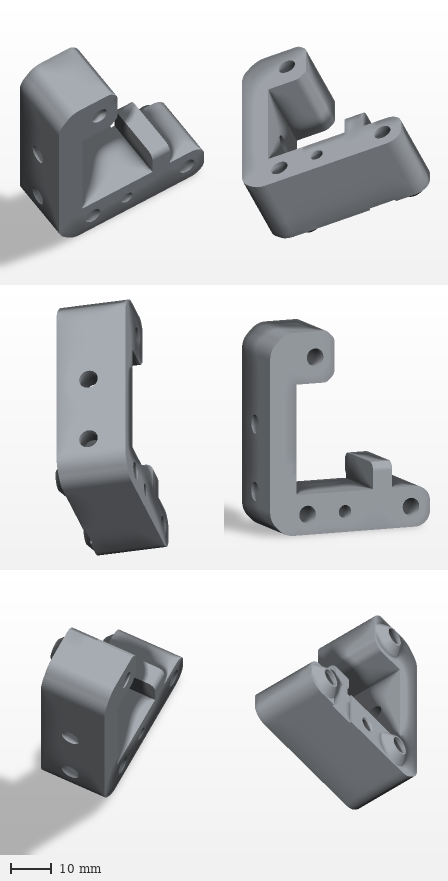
import cadquery as cq
import math

thickness = 17.4
height = 50.4
lower_arm_length = 42.5
lower_arm_height = 10.1
upper_arm_length = 17.1
upper_arm_height = 12.9
column_depth = 6.95

column_chamfer = 4.05
column_blend = 5.05
upper_tip_chamfer = 2.0
upper_tip_blend = 2.0

tip_side_radius = 4.2
tip_end_radius = 3.45

boss_base_diameter = 9.5
boss_height = 2.1
boss_top_diameter = boss_base_diameter - 2 * boss_height
bore_diameter = 4.4
arm_mid_z = lower_arm_height / 2
boss_centers = [(9.95, arm_mid_z), (37.45, arm_mid_z), (11.95, 43.95)]

small_hole_y = 19.9
small_hole_diameter = 3.3
small_hole_chamfer = 0.4

rib_start_y = 27.35
rib_width = 5.1
rib_top_z = 16.65
rib_fillet = 2.0
relief_depth = 0.5
relief_margin = 0.93
step_bottom_z = 11.45
step_top_z = 12.15

pin_diameter = 4.7
pin_x = 8.05
through_pin_z = 26.65
blind_pin_z = 9.95
blind_pin_depth = 5.05


def x_edge(y, z):
    """Select the edge parallel to X that passes through (y, z)."""
    margin = 0.05
    return cq.selectors.BoxSelector(
        (-margin, y - margin, z - margin),
        (thickness + margin, y + margin, z + margin),
        boundingbox=True,
    )


def blend_chamfer(body, y, z, y_inward, z_inward, leg, radius):
    """Chamfer the corner at (y, z) and round both edges of the chamfer."""
    body = body.edges(x_edge(y, z)).chamfer(leg)
    body = body.edges(x_edge(y + y_inward * leg, z)).fillet(radius)
    return body.edges(x_edge(y, z + z_inward * leg)).fillet(radius)


def make_body():
    upper_arm_z = height - upper_arm_height
    half_turn_run = math.sin(math.radians(45))
    half_turn_rise = 1 - math.cos(math.radians(45))
    arc_meet_y = lower_arm_length - tip_end_radius * half_turn_rise
    arc_start_y = arc_meet_y - tip_side_radius * half_turn_run
    arc_meet_inset = tip_side_radius * half_turn_rise
    arc_end_inset = arc_meet_inset + tip_end_radius * half_turn_run
    body = (
        cq.Workplane("YZ")
        .moveTo(0, 0)
        .lineTo(arc_start_y, 0)
        .radiusArc((arc_meet_y, arc_meet_inset), -tip_side_radius)
        .radiusArc((lower_arm_length, arc_end_inset), -tip_end_radius)
        .lineTo(lower_arm_length, lower_arm_height - arc_end_inset)
        .radiusArc((arc_meet_y, lower_arm_height - arc_meet_inset), -tip_end_radius)
        .radiusArc((arc_start_y, lower_arm_height), -tip_side_radius)
        .lineTo(column_depth, lower_arm_height)
        .lineTo(column_depth, upper_arm_z)
        .lineTo(upper_arm_length, upper_arm_z)
        .lineTo(upper_arm_length, height)
        .lineTo(0, height)
        .close()
        .extrude(thickness)
    )
    for z, z_inward in [(0, 1), (height, -1)]:
        body = blend_chamfer(body, 0, z, 1, z_inward, column_chamfer, column_blend)
    for z, z_inward in [(upper_arm_z, 1), (height, -1)]:
        body = blend_chamfer(
            body, upper_arm_length, z, -1, z_inward, upper_tip_chamfer, upper_tip_blend
        )
    return body


def make_boss(y, z):
    return (
        cq.Workplane("YZ", origin=(-boss_height, y, z))
        .circle(boss_top_diameter / 2)
        .workplane(offset=boss_height)
        .circle(boss_base_diameter / 2)
        .loft(ruled=True)
    )


def make_relief():
    """Block that recesses the -X face and trims the neighbouring boss."""
    return cq.Workplane("XY").box(
        boss_height + relief_depth,
        rib_width + 2 * relief_margin,
        lower_arm_height,
        centered=False,
    ).translate((-boss_height, rib_start_y - relief_margin, 0))


def make_rib():
    """Rib rising from the recessed face and sloping out to the full face."""
    rib = (
        cq.Workplane("XZ", origin=(0, rib_start_y, 0))
        .moveTo(relief_depth, arm_mid_z)
        .lineTo(relief_depth, step_bottom_z)
        .lineTo(0, step_top_z)
        .lineTo(0, rib_top_z)
        .lineTo(thickness, rib_top_z)
        .lineTo(thickness, arm_mid_z)
        .close()
        .extrude(-rib_width)
    )
    for x in (0, thickness):
        rib = rib.edges(cq.selectors.NearestToPointSelector(
            (x, rib_start_y + rib_width / 2, rib_top_z)
        )).fillet(rib_fillet)
    return rib


def x_bore(y, z, diameter):
    return (
        cq.Workplane("YZ", origin=(-boss_height, y, z))
        .circle(diameter / 2)
        .extrude(boss_height + thickness)
    )


def make_countersink():
    hole_radius = small_hole_diameter / 2
    return (
        cq.Workplane("YZ", origin=(0, small_hole_y, arm_mid_z))
        .circle(hole_radius + small_hole_chamfer)
        .workplane(offset=small_hole_chamfer)
        .circle(hole_radius)
        .loft(ruled=True)
    )


def pin_hole(z, depth):
    return cq.Workplane("XZ", origin=(pin_x, 0, z)).circle(pin_diameter / 2).extrude(-depth)


result = make_body()
for boss_y, boss_z in boss_centers:
    result = result.union(make_boss(boss_y, boss_z))

result = result.cut(make_relief()).union(make_rib())

for boss_y, boss_z in boss_centers:
    result = result.cut(x_bore(boss_y, boss_z, bore_diameter))
result = result.cut(x_bore(small_hole_y, arm_mid_z, small_hole_diameter))
result = result.cut(make_countersink())

result = result.cut(pin_hole(through_pin_z, column_depth))
result = result.cut(pin_hole(blind_pin_z, blind_pin_depth))